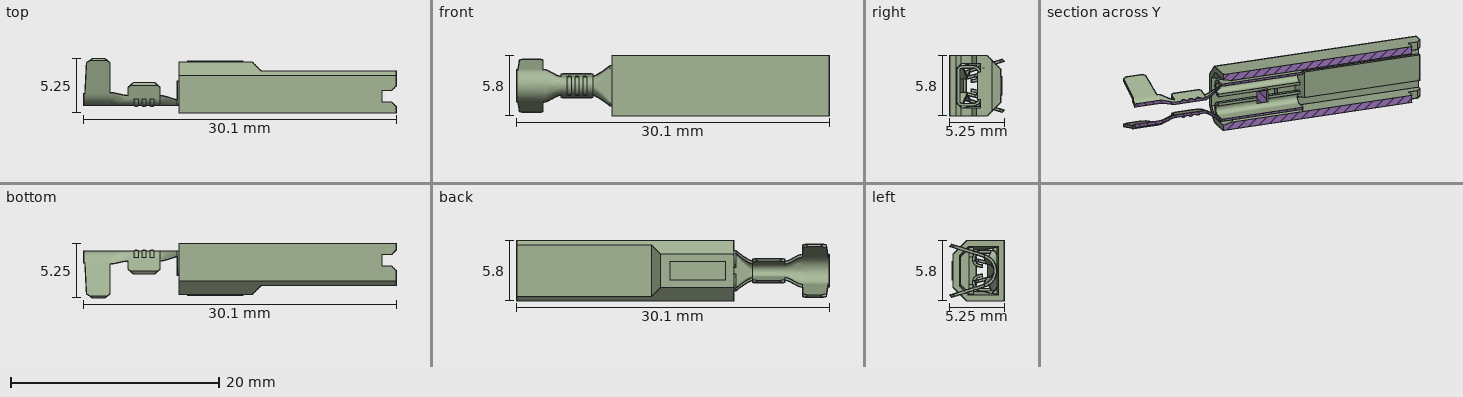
import cadquery as cq
import math

LENGTH = 30.05

HOUSING_START = 9.15
HALF_HEIGHT = 2.9
RIDGE_TOP = 4.93
BODY_TOP = 4.05
EDGE_CHAMFER = 1.32
RIDGE_END = 16.2

LABEL_START = 9.97
LABEL_LENGTH = 5.35
LABEL_HALF_WIDTH = 0.87
LABEL_HEIGHT = 0.1

NOTCH_BOTTOM = 1.08
NOTCH_TOP = 2.15
NOTCH_DEPTH = 1.35
NOTCH_LEAD = 0.45

MOUTH_FLOOR = 0.55
MOUTH_TOP = 4.3
MOUTH_HALF = 2.35
FLOOR = 0.72
CHAMBER_TOP = 4.2
CHAMBER_HALF = 2.22
CHAMBER_CHAMFER = 0.87
FUNNEL_LENGTH = 0.48
CHAMBER_END = 15.62
PASSAGE_TOP = 3.35
STOP_X = 17.42

GUIDE_HALF = 1.98
GUIDE_TOP = 2.97
GUIDE_KNEE = 1.92
GUIDE_BOTTOM = 0.93

APERTURE_HALF = 2.13
APERTURE_CORNER = 0.45
RAIL_HALF = 1.32
RAIL_BOTTOM = 2.67

SHEET = 0.27

INSULATION_LENGTH = 2.55
INSULATION_RADIUS = 1.62
INSULATION_LEAN = 17.5
INSULATION_TIP = 5.25
INSULATION_BEVEL_START = 5.05
INSULATION_SHOULDER = 4.85

CONDUCTOR_START = 4.27
CONDUCTOR_END = 7.35
CONDUCTOR_RADIUS = 0.87
CONDUCTOR_LEAN = 14.0
CONDUCTOR_TIP = 2.95
CONDUCTOR_BEVEL_START = 2.65
CONDUCTOR_SHOULDER = 2.45
CONDUCTOR_CORNER = 0.5

NECK_TOP_REAR = 1.98
NECK_TOP_FRONT = 1.7
TRANSITION_STEPS = 4
FLARE_POWER = 1.3
CROWN_FLAT = 0.03
TRANSITION_TOP = 1.25

RIB_COUNT = 3
RIB_PITCH = 0.75
RIB_WIDTH = 0.4
RIB_HEIGHT = 0.1
RIB_ANGLE = 150.0

RECEPTACLE_START = 8.98
RECEPTACLE_HALF = 1.95
RECEPTACLE_CORNER = 0.45
RECEPTACLE_TOP = 3.05
CURL_RADIUS = 0.8
CURL_TIP = 2.07

TONGUE_START = 11.42
TONGUE_END = 13.82
TONGUE_HALF = 0.63
TONGUE_TOP = 1.62


def x_plane(x):
    """Plane across the part at x, with local x along Y and local y along Z."""
    return cq.Workplane("YZ", origin=(x, 0, 0))


def z_prism(points, half_width):
    """Outline in X and Y, thickened symmetrically along Z."""
    return cq.Workplane("XY").polyline(points).close().extrude(half_width, both=True)


def chamfered_outline(plane, bottom, top, half, chamfer):
    """Closed rectangle whose two corners at the high-Y side are cut at 45 degrees."""
    return plane.polyline([
        (bottom, -half),
        (top - chamfer, -half),
        (top, chamfer - half),
        (top, half - chamfer),
        (top - chamfer, half),
        (bottom, half),
    ]).close()


def make_shell():
    block = chamfered_outline(x_plane(HOUSING_START), 0, RIDGE_TOP, HALF_HEIGHT, EDGE_CHAMFER)
    block = block.extrude(LENGTH - HOUSING_START)
    side = z_prism([
        (HOUSING_START, 0),
        (HOUSING_START, RIDGE_TOP),
        (RIDGE_END, RIDGE_TOP),
        (RIDGE_END + RIDGE_TOP - BODY_TOP, BODY_TOP),
        (LENGTH, BODY_TOP),
        (LENGTH, 0),
    ], HALF_HEIGHT)
    label = cq.Workplane("XY").box(
        LABEL_LENGTH, LABEL_HEIGHT, 2 * LABEL_HALF_WIDTH, centered=(False, False, True)
    ).translate((LABEL_START, RIDGE_TOP, 0))
    return block.intersect(side).union(label)


def make_notch():
    root = LENGTH - NOTCH_DEPTH
    throat = LENGTH - NOTCH_LEAD
    return z_prism([
        (root, NOTCH_BOTTOM),
        (throat, NOTCH_BOTTOM),
        (LENGTH, NOTCH_BOTTOM - NOTCH_LEAD),
        (LENGTH, NOTCH_TOP + NOTCH_LEAD),
        (throat, NOTCH_TOP),
        (root, NOTCH_TOP),
    ], HALF_HEIGHT)


def make_side_guide():
    """Rail on the +Z wall of the cavity; its ramp continues the side of the entry funnel."""
    length = STOP_X - HOUSING_START
    rail = x_plane(HOUSING_START).polyline([
        (GUIDE_BOTTOM, MOUTH_HALF),
        (GUIDE_BOTTOM, CHAMBER_HALF),
        (GUIDE_KNEE, GUIDE_HALF),
        (GUIDE_TOP, GUIDE_HALF),
        (GUIDE_TOP, MOUTH_HALF),
    ]).close().extrude(length)
    ramp_length = FUNNEL_LENGTH * (MOUTH_HALF - GUIDE_HALF) / (MOUTH_HALF - CHAMBER_HALF)
    ramp = cq.Workplane("XZ").polyline([
        (HOUSING_START, MOUTH_HALF),
        (HOUSING_START + ramp_length, GUIDE_HALF),
        (STOP_X, GUIDE_HALF),
        (STOP_X, MOUTH_HALF),
    ]).close().extrude(-GUIDE_TOP)
    return rail.intersect(ramp)


def make_cavity():
    funnel = chamfered_outline(
        x_plane(HOUSING_START), MOUTH_FLOOR, MOUTH_TOP, MOUTH_HALF, CHAMBER_CHAMFER
    )
    funnel = chamfered_outline(
        funnel.workplane(offset=FUNNEL_LENGTH), FLOOR, CHAMBER_TOP, CHAMBER_HALF, CHAMBER_CHAMFER
    ).loft(ruled=True)
    chamber_start = HOUSING_START + FUNNEL_LENGTH
    chamber = chamfered_outline(
        x_plane(chamber_start), FLOOR, CHAMBER_TOP, CHAMBER_HALF, CHAMBER_CHAMFER
    ).extrude(CHAMBER_END - chamber_start)
    passage = cq.Workplane("XY").box(
        STOP_X - CHAMBER_END, PASSAGE_TOP - FLOOR, 2 * CHAMBER_HALF, centered=(False, False, True)
    ).translate((CHAMBER_END, FLOOR, 0))
    guide = make_side_guide()
    return funnel.union(chamber).union(passage).cut(guide).cut(guide.mirror("XY"))


def make_aperture():
    """Opening for the mating tab, from the terminal stop to the mating end."""
    opening = x_plane(STOP_X).polyline([
        (FLOOR, APERTURE_CORNER - APERTURE_HALF),
        (FLOOR + APERTURE_CORNER, -APERTURE_HALF),
        (GUIDE_TOP, -APERTURE_HALF),
        (GUIDE_TOP, -RAIL_HALF),
        (RAIL_BOTTOM, -RAIL_HALF),
        (RAIL_BOTTOM, RAIL_HALF),
        (GUIDE_TOP, RAIL_HALF),
        (GUIDE_TOP, APERTURE_HALF),
        (FLOOR + APERTURE_CORNER, APERTURE_HALF),
        (FLOOR, APERTURE_HALF - APERTURE_CORNER),
    ]).close().extrude(LENGTH - STOP_X)
    rail_lead_in = z_prism([
        (STOP_X, PASSAGE_TOP),
        (STOP_X, RAIL_BOTTOM),
        (STOP_X + PASSAGE_TOP - RAIL_BOTTOM, RAIL_BOTTOM),
    ], RAIL_HALF)
    return opening.union(rail_lead_in)


def make_housing():
    return make_shell().cut(make_notch()).cut(make_cavity()).cut(make_aperture())


def channel_outline(plane, flat, radius, lean, tip, bevel_start):
    """Closed outline of a bent sheet: flat base, two round corners, two walls leaning outwards.

    Without a flat, one arc joins the walls.

    tip is the Y of the inner wall edge and bevel_start the Y of the outer one.
    """
    angle = math.radians(lean)
    center_y = FLOOR + radius
    inner_radius = radius - SHEET

    def on_corner(size, turn):
        return center_y - size * math.sin(turn), flat + size * math.cos(turn)

    def on_wall(start, y):
        return y, start[1] + (y - start[0]) * math.tan(angle)

    def mirrored(point):
        return point[0], -point[1]

    middle = (angle + math.pi / 2) / 2
    outer = on_corner(radius, angle)
    outer_middle = on_corner(radius, middle)
    outer_edge = on_wall(outer, bevel_start)
    inner = on_corner(inner_radius, angle)
    inner_middle = on_corner(inner_radius, middle)
    inner_edge = on_wall(inner, tip)
    outline = plane.moveTo(*outer_edge).lineTo(*outer)
    if flat > 0:
        outline = (
            outline.threePointArc(outer_middle, (FLOOR, flat))
            .lineTo(FLOOR, -flat)
            .threePointArc(mirrored(outer_middle), mirrored(outer))
        )
    else:
        outline = outline.threePointArc((FLOOR, 0), mirrored(outer))
    outline = (
        outline.lineTo(*mirrored(outer_edge))
        .lineTo(*mirrored(inner_edge))
        .lineTo(*mirrored(inner))
    )
    if flat > 0:
        outline = (
            outline.threePointArc(mirrored(inner_middle), (FLOOR + SHEET, -flat))
            .lineTo(FLOOR + SHEET, flat)
            .threePointArc(inner_middle, inner)
        )
    else:
        outline = outline.threePointArc((FLOOR + SHEET, 0), inner)
    return outline.lineTo(*inner_edge).close()


def make_insulation_crimp():
    barrel = channel_outline(
        x_plane(0), 0, INSULATION_RADIUS, INSULATION_LEAN, INSULATION_TIP, INSULATION_BEVEL_START
    ).extrude(INSULATION_LENGTH)
    wing_root = 1.9
    root_step = 0.12
    shoulder_inset = 0.27
    tip_start = 0.87
    tip_end = 2.05
    blank = z_prism([
        (0, FLOOR),
        (0, wing_root),
        (root_step, wing_root),
        (shoulder_inset, INSULATION_SHOULDER),
        (tip_start, INSULATION_TIP),
        (tip_end, INSULATION_TIP),
        (INSULATION_LENGTH, INSULATION_SHOULDER),
        (INSULATION_LENGTH, FLOOR),
    ], HALF_HEIGHT)
    return barrel.intersect(blank)


def make_conductor_crimp():
    barrel = channel_outline(
        x_plane(CONDUCTOR_START),
        0, CONDUCTOR_RADIUS, CONDUCTOR_LEAN, CONDUCTOR_TIP, CONDUCTOR_BEVEL_START,
    ).extrude(CONDUCTOR_END - CONDUCTOR_START)
    blank = z_prism([
        (CONDUCTOR_START, FLOOR),
        (CONDUCTOR_START, CONDUCTOR_SHOULDER),
        (CONDUCTOR_START + CONDUCTOR_CORNER, CONDUCTOR_TIP),
        (CONDUCTOR_END - CONDUCTOR_CORNER, CONDUCTOR_TIP),
        (CONDUCTOR_END, CONDUCTOR_SHOULDER),
        (CONDUCTOR_END, FLOOR),
    ], HALF_HEIGHT)
    return barrel.intersect(blank)


def make_rib(x):
    """Round rib around the underside of the conductor barrel."""
    root = FLOOR + SHEET / 2
    axis_y = FLOOR + CONDUCTOR_RADIUS
    half = RIB_WIDTH / 2
    section = (
        cq.Workplane("XY")
        .moveTo(x - half, root)
        .lineTo(x - half, FLOOR)
        .threePointArc((x, FLOOR - RIB_HEIGHT), (x + half, FLOOR))
        .lineTo(x + half, root)
        .close()
    )
    rib = section.revolve(RIB_ANGLE, (0, axis_y, 0), (1, axis_y, 0))
    return rib.rotate((0, axis_y, 0), (1, axis_y, 0), -RIB_ANGLE / 2)


def make_transition(start, end, start_shape, end_shape, ease):
    """Loft between two channel shapes, each (flat, radius, lean, wall top)."""
    sections = x_plane(start)
    for step in range(TRANSITION_STEPS + 1):
        blend = ease(step / TRANSITION_STEPS)
        flat, radius, lean, top = [a + (b - a) * blend for a, b in zip(start_shape, end_shape)]
        if step > 0:
            sections = sections.workplane(offset=(end - start) / TRANSITION_STEPS)
        sections = channel_outline(sections, flat, radius, lean, top, top)
    return sections.loft()


def ease_both_ends(t):
    return t * t * (3 - 2 * t)


def ease_start(t):
    return t ** FLARE_POWER


def make_receptacle():
    """Tab receptacle: flat base with two walls curled inwards over it."""
    curl_y = RECEPTACLE_TOP - CURL_RADIUS
    curl_z = RECEPTACLE_HALF - CURL_RADIUS
    corner_y = FLOOR + RECEPTACLE_CORNER
    corner_z = RECEPTACLE_HALF - RECEPTACLE_CORNER
    diagonal = math.sqrt(0.5)
    inner_curl = CURL_RADIUS - SHEET
    inner_corner = RECEPTACLE_CORNER - SHEET
    half = (
        x_plane(RECEPTACLE_START)
        .moveTo(FLOOR, 0)
        .lineTo(FLOOR, corner_z)
        .threePointArc(
            (corner_y - RECEPTACLE_CORNER * diagonal, corner_z + RECEPTACLE_CORNER * diagonal),
            (corner_y, RECEPTACLE_HALF),
        )
        .lineTo(curl_y, RECEPTACLE_HALF)
        .threePointArc((RECEPTACLE_TOP, curl_z), (curl_y, curl_z - CURL_RADIUS))
        .lineTo(CURL_TIP, curl_z - CURL_RADIUS)
        .lineTo(CURL_TIP, curl_z - inner_curl)
        .lineTo(curl_y, curl_z - inner_curl)
        .threePointArc((curl_y + inner_curl, curl_z), (curl_y, curl_z + inner_curl))
        .lineTo(corner_y, RECEPTACLE_HALF - SHEET)
        .threePointArc(
            (corner_y - inner_corner * diagonal, corner_z + inner_corner * diagonal),
            (FLOOR + SHEET, corner_z),
        )
        .lineTo(FLOOR + SHEET, 0)
        .close()
        .extrude(STOP_X - RECEPTACLE_START)
    )
    return half.union(half.mirror("XY"))


def make_tongue():
    """Contact tongue rising from the base of the receptacle."""
    return z_prism([
        (TONGUE_START, FLOOR),
        (TONGUE_START, FLOOR + SHEET),
        (TONGUE_END, TONGUE_TOP),
        (TONGUE_END, TONGUE_TOP - SHEET),
        (TONGUE_START + SHEET, FLOOR),
    ], TONGUE_HALF)


def make_terminal():
    insulation = (0, INSULATION_RADIUS, INSULATION_LEAN, NECK_TOP_REAR)
    conductor = (0, CONDUCTOR_RADIUS, CONDUCTOR_LEAN, NECK_TOP_FRONT)
    crown = (CROWN_FLAT, CONDUCTOR_RADIUS - CROWN_FLAT, CONDUCTOR_LEAN, NECK_TOP_FRONT)
    base = (RECEPTACLE_HALF - RECEPTACLE_CORNER, RECEPTACLE_CORNER, 0, TRANSITION_TOP)
    terminal = (
        make_insulation_crimp()
        .union(make_transition(INSULATION_LENGTH, CONDUCTOR_START, insulation, conductor, ease_both_ends))
        .union(make_conductor_crimp())
        .union(make_transition(CONDUCTOR_END, RECEPTACLE_START, crown, base, ease_start))
        .union(make_receptacle())
        .union(make_tongue())
    )
    middle = (CONDUCTOR_START + CONDUCTOR_END) / 2
    for index in range(RIB_COUNT):
        rib_x = middle + (index - (RIB_COUNT - 1) / 2) * RIB_PITCH
        terminal = terminal.union(make_rib(rib_x))
    return terminal


housing = make_housing()
terminal = make_terminal()
result = cq.Compound.makeCompound([housing.val(), terminal.val()])